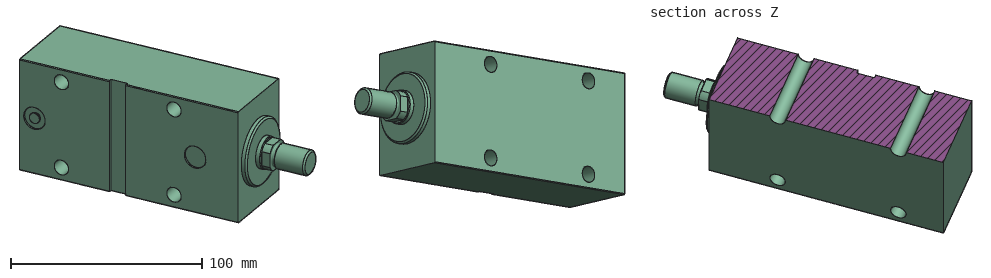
import cadquery as cq

OVERALL_LENGTH = 161

BLOCK_LENGTH = 130.1
BLOCK_DEPTH = 45
BLOCK_HEIGHT = 65.0
BLOCK_CHAMFER = 0.5
FRONT_Y = -BLOCK_DEPTH / 2

SLOT_START = 53.5
SLOT_WIDTH = 9.7
SLOT_DEPTH = 2.0

MOUNT_DIAMETER = 8.5
MOUNT_START = 25.0
MOUNT_SPACING_X = 67.0
MOUNT_SPACING_Z = 49.9

PORT_DIAMETER = 12.7
PORT_DEPTH = 1.1
REAR_PORT_X = 8.9
FRONT_PORT_X = 104.5

PIN_DIAMETER = 6.0

GLAND_DIAMETER = 38.0
GLAND_THICKNESS = 3.0
GLAND_CHAMFER = 1.0

ROD_DIAMETER = 18.0
ROD_CHAMFER = 0.5
SHOULDER_END = 6.0
SQUARE_END = 11.0
SQUARE_SIZE = 15.0
SQUARE_CORNER_DIAMETER = ROD_DIAMETER - 2 * ROD_CHAMFER
NECK_END = 13.0
NECK_DIAMETER = 12.2
NECK_FILLET = 0.5
STUD_DIAMETER = 14.0
STUD_CHAMFER = 1.0
ROD_LENGTH = OVERALL_LENGTH - BLOCK_LENGTH


def rod_cylinder(start, end, diameter):
    """Cylinder on the rod axis between two distances from the end of the block."""
    plane = cq.Workplane("YZ", origin=(BLOCK_LENGTH + start, 0, 0))
    return plane.circle(diameter / 2).extrude(end - start)


def front_cylinder(x, diameter, depth):
    """Cylinder at mid height that goes from the front face into the block."""
    plane = cq.Workplane("XZ", origin=(x, FRONT_Y, 0))
    return plane.circle(diameter / 2).extrude(-depth)


def make_housing():
    block = cq.Workplane("XY").box(
        BLOCK_LENGTH, BLOCK_DEPTH, BLOCK_HEIGHT, centered=(False, True, True)
    )
    block = block.edges("|X").chamfer(BLOCK_CHAMFER)

    slot = cq.Workplane("XY", origin=(SLOT_START, FRONT_Y, 0)).box(
        SLOT_WIDTH, SLOT_DEPTH, BLOCK_HEIGHT, centered=(False, False, True)
    )
    block = block.cut(slot)

    mount_centre_x = MOUNT_START + MOUNT_SPACING_X / 2
    mount_holes = (
        cq.Workplane("XZ", origin=(mount_centre_x, FRONT_Y, 0))
        .rarray(MOUNT_SPACING_X, MOUNT_SPACING_Z, 2, 2)
        .circle(MOUNT_DIAMETER / 2)
        .extrude(-BLOCK_DEPTH)
    )
    block = block.cut(mount_holes)

    for port_x in (REAR_PORT_X, FRONT_PORT_X):
        block = block.cut(front_cylinder(port_x, PORT_DIAMETER, PORT_DEPTH))
    return block


def make_pin():
    return front_cylinder(REAR_PORT_X, PIN_DIAMETER, PORT_DEPTH)


def make_gland():
    ring = rod_cylinder(0, GLAND_THICKNESS, GLAND_DIAMETER)
    ring = ring.faces(">X").chamfer(GLAND_CHAMFER)
    return ring.cut(rod_cylinder(0, GLAND_THICKNESS, ROD_DIAMETER))


def make_rod():
    shoulder = rod_cylinder(0, SHOULDER_END, ROD_DIAMETER)
    shoulder = shoulder.faces(">X").chamfer(ROD_CHAMFER)

    square_length = SQUARE_END - SHOULDER_END
    square = (
        cq.Workplane("YZ", origin=(BLOCK_LENGTH + SHOULDER_END, 0, 0))
        .rect(SQUARE_SIZE, SQUARE_SIZE)
        .extrude(square_length)
        .intersect(rod_cylinder(SHOULDER_END, SQUARE_END, SQUARE_CORNER_DIAMETER))
    )

    neck = rod_cylinder(SQUARE_END, NECK_END, NECK_DIAMETER)
    stud = rod_cylinder(NECK_END, ROD_LENGTH, STUD_DIAMETER)
    rod = shoulder.union(square).union(neck).union(stud)

    neck_ends = cq.selectors.RadiusNthSelector(0)
    rod = rod.edges(neck_ends).fillet(NECK_FILLET)
    return rod.faces(">X").chamfer(STUD_CHAMFER)


housing = make_housing()
pin = make_pin()
gland = make_gland()
rod = make_rod()

result = cq.Compound.makeCompound([housing.val(), pin.val(), gland.val(), rod.val()])